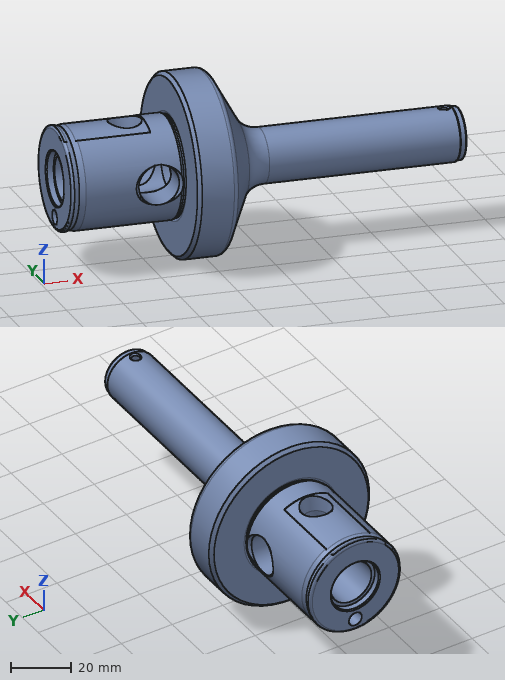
import cadquery as cq
import math

length = 141.5

plug_radius = 36.1 / 2
plug_length = 39.9
nose_fillet = 1.0
groove_bottom = 2.8
groove_end = 5.0
groove_depth = 0.5

undercut_start = 38.6
undercut_depth = 0.4
undercut_slope = 0.8
undercut_face_depth = 0.3
undercut_face_width = 0.5

flange_radius = 63.3 / 2
flange_chamfer = 1.3
rim_end = 52.4
rim_fillet = 2.0
cone_angle = math.radians(60)

shaft_radius = 19.1 / 2
neck_fillet = 10.0
pilot_start = 139.0
pilot_step = 0.4
pilot_chamfer = 0.4

counterbore_radius = 18.7 / 2
counterbore_chamfer = 0.4
counterbore_depth = 2.7
bore_radius = 16.0 / 2
through_radius = 9.9 / 2
drill_half_angle = math.radians(59)

patch_length = 30.7
patch_width = 17.1
patch_depth = 0.11

taper_x = 24.5
taper_mouth_radius = 5.8
taper_end_radius = 4.5
taper_depth = 5.4

cross_x = 31.0
cross_radius = 14.2 / 2
cross_mouth_radius = 8.3

pin_hole_z = -13.6
pin_hole_radius = 5.1 / 2
pin_hole_depth = 7.1

screw_x = 136.4
screw_radius = 3.0 / 2
screw_mouth_radius = 4.2 / 2

X_AXIS = ((0, 0, 0), (1, 0, 0))


def frustum(start, direction, start_radius, end_radius, height):
    """Round cutter from start along direction, straight or tapered."""
    start_point = cq.Vector(*start)
    axis = cq.Vector(*direction)
    if math.isclose(start_radius, end_radius):
        solid = cq.Solid.makeCylinder(start_radius, height, start_point, axis)
    else:
        solid = cq.Solid.makeCone(start_radius, end_radius, height, start_point, axis)
    return cq.Workplane(obj=solid)


def fillet_points(radius, sweep):
    """Axial and radial offsets of an arc's middle and end from where it is tangent to the X axis."""
    middle = (radius * math.sin(sweep / 2), radius * (1 - math.cos(sweep / 2)))
    end = (radius * math.sin(sweep), radius * (1 - math.cos(sweep)))
    return middle, end


def make_turned_body():
    """Outer shape, revolved from its half outline."""
    nose_middle, nose_end = fillet_points(nose_fillet, math.pi / 2)
    rim_middle, rim_drop = fillet_points(rim_fillet, cone_angle)
    neck_middle, neck_rise = fillet_points(neck_fillet, cone_angle)
    undercut_radius = plug_radius - undercut_depth
    cone_start = (rim_end + rim_drop[0], flange_radius - rim_drop[1])
    neck_start_radius = shaft_radius + neck_rise[1]
    cone_run = (cone_start[1] - neck_start_radius) / math.tan(cone_angle)
    neck_start = cone_start[0] + cone_run
    neck_end = neck_start + neck_rise[0]
    pilot_radius = shaft_radius - pilot_step
    return (
        cq.Workplane("XY")
        .lineTo(0, plug_radius - nose_end[1])
        .threePointArc(
            (nose_fillet - nose_middle[0], plug_radius - nose_middle[1]),
            (nose_fillet, plug_radius),
        )
        .lineTo(groove_bottom, plug_radius - groove_depth)
        .lineTo(groove_end, plug_radius)
        .lineTo(undercut_start, plug_radius)
        .lineTo(undercut_start + undercut_slope, undercut_radius)
        .lineTo(plug_length + undercut_face_depth, undercut_radius)
        .lineTo(plug_length, plug_radius + undercut_face_width)
        .lineTo(plug_length, flange_radius - flange_chamfer)
        .lineTo(plug_length + flange_chamfer, flange_radius)
        .lineTo(rim_end, flange_radius)
        .threePointArc((rim_end + rim_middle[0], flange_radius - rim_middle[1]), cone_start)
        .lineTo(neck_start, neck_start_radius)
        .threePointArc(
            (neck_end - neck_middle[0], shaft_radius + neck_middle[1]),
            (neck_end, shaft_radius),
        )
        .lineTo(pilot_start, shaft_radius)
        .lineTo(pilot_start + pilot_step, pilot_radius)
        .lineTo(length - pilot_chamfer, pilot_radius)
        .lineTo(length, pilot_radius - pilot_chamfer)
        .lineTo(length, 0)
        .close()
        .revolve(360, *X_AXIS)
    )


def make_bore():
    """Axial bore: counterbored at the nose, narrowing to a smaller hole through the shaft."""
    tip_length = (bore_radius - through_radius) / math.tan(drill_half_angle)
    return (
        cq.Workplane("XY")
        .lineTo(0, counterbore_radius + counterbore_chamfer)
        .lineTo(counterbore_chamfer, counterbore_radius)
        .lineTo(counterbore_depth, counterbore_radius)
        .lineTo(counterbore_depth, bore_radius)
        .lineTo(plug_length, bore_radius)
        .lineTo(plug_length + tip_length, through_radius)
        .lineTo(length, through_radius)
        .lineTo(length, 0)
        .close()
        .revolve(360, *X_AXIS)
    )


def make_patch():
    """Thin curved layer removed from the top of the plug."""
    block = cq.Workplane("XY").box(patch_length, patch_width, plug_radius, centered=(False, True, False))
    core = cq.Workplane("YZ").circle(plug_radius - patch_depth).extrude(patch_length)
    return block.cut(core)


def make_taper_hole():
    """Hole from the top of the plug into the bore, tapered and then straight."""
    taper_end = plug_radius - taper_depth
    taper = frustum(
        (taper_x, 0, plug_radius), (0, 0, -1), taper_mouth_radius, taper_end_radius, taper_depth
    )
    return taper.union(
        frustum((taper_x, 0, 0), (0, 0, 1), taper_end_radius, taper_end_radius, taper_end)
    )


def make_cross_hole():
    """Through hole along Y, countersunk at both sides of the plug."""
    hole = frustum((cross_x, -plug_radius, 0), (0, 1, 0), cross_radius, cross_radius, 2 * plug_radius)
    flare = cross_mouth_radius - cross_radius
    for side in (-1, 1):
        mouth = (cross_x, side * plug_radius, 0)
        hole = hole.union(frustum(mouth, (0, -side, 0), cross_mouth_radius, cross_radius, flare))
    return hole


def make_pin_hole():
    """Blind hole with a drill point in the nose face."""
    hole = frustum((0, 0, pin_hole_z), (1, 0, 0), pin_hole_radius, pin_hole_radius, pin_hole_depth)
    tip_length = pin_hole_radius / math.tan(drill_half_angle)
    tip = frustum((pin_hole_depth, 0, pin_hole_z), (1, 0, 0), pin_hole_radius, 0, tip_length)
    return hole.union(tip)


def make_screw_hole():
    """Countersunk hole from the top of the shaft into the bore."""
    hole = frustum((screw_x, 0, 0), (0, 0, 1), screw_radius, screw_radius, shaft_radius)
    flare = screw_mouth_radius - screw_radius
    return hole.union(
        frustum((screw_x, 0, shaft_radius), (0, 0, -1), screw_mouth_radius, screw_radius, flare)
    )


result = make_turned_body()
for cutter in (
    make_patch(),
    make_bore(),
    make_taper_hole(),
    make_cross_hole(),
    make_pin_hole(),
    make_screw_hole(),
):
    result = result.cut(cutter)